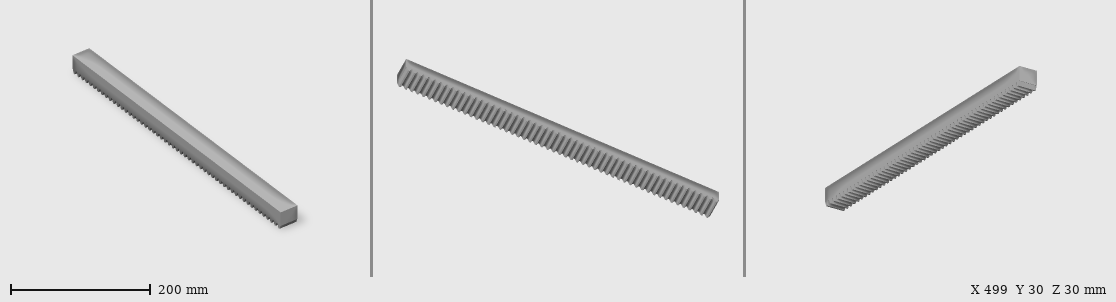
import cadquery as cq
import math

length = 499.0

tooth_count = 53
end_trim = 0.35
pitch = (length + 2 * end_trim) / tooth_count

module = pitch / math.pi
pressure_angle = 20.0
addendum = module
root_clearance = 0.25 * module
dedendum = addendum + root_clearance
tooth_height = addendum + dedendum

section_in_modules = 10
width = section_in_modules * module
height = section_in_modules * module

flank_slope = math.tan(math.radians(pressure_angle))
tip_half_width = pitch / 4 - addendum * flank_slope
root_half_width = pitch / 4 + dedendum * flank_slope

top_z = height / 2
tip_z = -height / 2
root_z = tip_z + tooth_height


def tooth_points(center_x):
    """Corners of one straight-sided tooth, from left to right."""
    return [
        (center_x - root_half_width, root_z),
        (center_x - tip_half_width, tip_z),
        (center_x + tip_half_width, tip_z),
        (center_x + root_half_width, root_z),
    ]


def rack_outline():
    """Bar outline in the XZ plane, with the row of teeth centered along the underside."""
    first_tooth_x = -(tooth_count - 1) / 2 * pitch
    points = [(-length / 2, top_z), (-length / 2, root_z)]
    for index in range(tooth_count):
        points += tooth_points(first_tooth_x + index * pitch)
    points += [(length / 2, root_z), (length / 2, top_z)]
    return points


result = cq.Workplane("XZ").polyline(rack_outline()).close().extrude(width / 2, both=True)